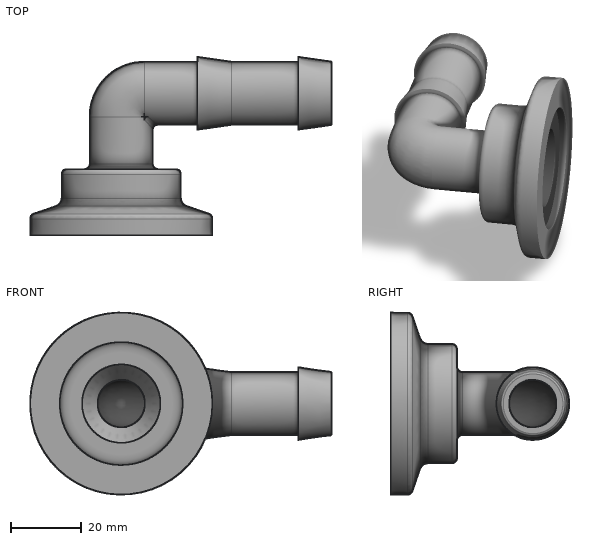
import cadquery as cq
import math

flange_radius = 51.85 / 2
flange_edge_height = 5.8
flange_cone_angle = 19.0
flange_edge_round = 1.55
hub_radius = 34.0 / 2
hub_height = 18.9
hub_edge_round = 1.55
hub_root_fillet = 2.3

tube_radius = 18.0 / 2
tube_root_fillet = 1.5
bend_radius = 6.6
inner_corner_fillet = 1.2
total_height = 50.8
total_length = 85.85
tube_end = total_length - flange_radius

barb_radius = 20.8 / 2
barb_length = 9.6
first_barb_start = 21.6
barb_starts = (first_barb_start, tube_end - barb_length)
tip_round = 0.6

bore_radius = 13.5 / 2
funnel_radius = 22.3 / 2
funnel_depth = 12.5
recess_radius = 35.0 / 2
recess_depth = 2.1

tube_start = hub_height / 2
tube_axis_height = total_height - barb_radius
bend_center_height = tube_axis_height - bend_radius
cone_rise = (flange_radius - hub_radius) * math.tan(math.radians(flange_cone_angle))
cone_top = flange_edge_height + cone_rise


def y_cylinder(radius, start, end):
    """Solid cylinder on the Y axis between two heights."""
    return cq.Workplane("XZ", origin=(0, start, 0)).circle(radius).extrude(start - end)


def x_cylinder(radius, start, end):
    """Solid cylinder on the horizontal tube axis."""
    return cq.Workplane("YZ", origin=(start, tube_axis_height, 0)).circle(radius).extrude(end - start)


def half_chord(radius):
    """Half the width of a bend section along the bend axis, for sections that cross it."""
    return math.sqrt(radius**2 - bend_radius**2)


def bend(radius):
    """Quarter turn of round section, stopped at the bend axis where the section crosses it."""
    section = cq.Workplane("XZ", origin=(0, bend_center_height, 0))
    if radius > bend_radius:
        half_width = half_chord(radius)
        section = (
            section.moveTo(bend_radius, half_width)
            .threePointArc((-radius, 0), (bend_radius, -half_width))
            .close()
        )
    else:
        section = section.circle(radius)
    return section.revolve(90, (bend_radius, 0, 0), (bend_radius, -1, 0))


def elbow(radius, start, end):
    """Vertical leg, quarter bend and horizontal leg of one radius."""
    vertical_leg = y_cylinder(radius, start, bend_center_height)
    horizontal_leg = x_cylinder(radius, bend_radius, end)
    return vertical_leg.union(horizontal_leg).union(bend(radius))


def inner_corner():
    """Block around the inside corner of the elbow, with the seam between the legs rounded."""
    half_width = half_chord(tube_radius)
    size = 2 * tube_radius
    block = (
        cq.Workplane("XY", origin=(0, tube_axis_height, -half_width))
        .rect(size, -size, centered=False)
        .extrude(2 * half_width)
    )
    vertical_leg = y_cylinder(tube_radius, tube_axis_height - size, tube_axis_height)
    horizontal_leg = x_cylinder(tube_radius, 0, size)
    corner = vertical_leg.union(horizontal_leg).intersect(block)
    return corner.edges(cq.selectors.TypeSelector("ELLIPSE")).fillet(inner_corner_fillet)


def flange_and_hub():
    """Flange with a sloped back, rising to a cylindrical hub."""
    body = (
        cq.Workplane("XY")
        .polyline(
            [
                (0, 0),
                (flange_radius, 0),
                (flange_radius, flange_edge_height),
                (hub_radius, cone_top),
                (hub_radius, hub_height),
                (0, hub_height),
            ]
        )
        .close()
        .revolve(360, (0, 0, 0), (0, 1, 0))
    )
    body = body.edges(ring_at(flange_radius, flange_edge_height)).fillet(flange_edge_round)
    body = body.edges(ring_at(hub_radius, cone_top)).fillet(hub_root_fillet)
    return body.edges(ring_at(hub_radius, hub_height)).fillet(hub_edge_round)


def ring_at(radius, height):
    """Selector for the circular edge of a given radius and height around the Y axis."""
    margin = 0.1
    reach = radius + margin
    return cq.selectors.BoxSelector(
        (-reach, height - margin, -reach),
        (reach, height + margin, reach),
        boundingbox=True,
    )


def barb(start):
    """Barb with a square shoulder, tapering down to the tube toward its end."""
    return (
        cq.Workplane("XY")
        .polyline(
            [
                (start, tube_axis_height),
                (start, tube_axis_height + barb_radius),
                (start + barb_length, tube_axis_height + tube_radius),
                (start + barb_length, tube_axis_height),
            ]
        )
        .close()
        .revolve(360, (0, tube_axis_height, 0), (1, tube_axis_height, 0))
    )


def face_opening():
    """Shallow recess in the flange face and the funnel that leads into the bore."""
    return (
        cq.Workplane("XY")
        .polyline(
            [
                (0, 0),
                (recess_radius, 0),
                (recess_radius, recess_depth),
                (funnel_radius, recess_depth),
                (bore_radius, funnel_depth),
                (0, funnel_depth),
            ]
        )
        .close()
        .revolve(360, (0, 0, 0), (0, 1, 0))
    )


tube = elbow(tube_radius, tube_start, tube_end).union(inner_corner())

body = flange_and_hub().union(tube)
body = body.edges(ring_at(tube_radius, hub_height)).fillet(tube_root_fillet)
for barb_start in barb_starts:
    body = body.union(barb(barb_start))
body = body.faces(">X").edges().fillet(tip_round)

result = body.cut(face_opening()).cut(elbow(bore_radius, tube_start, tube_end))